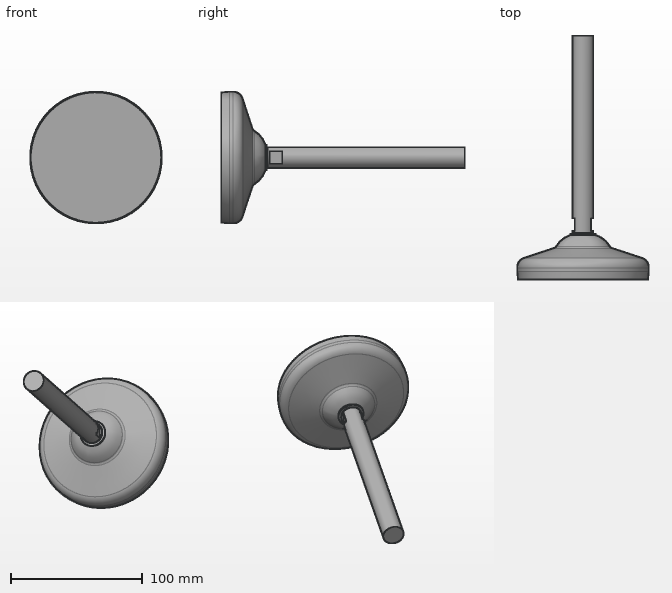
import cadquery as cq
import math

total_length = 185.0

rim_diameter = 100.0
rim_radius = rim_diameter / 2
base_radius = 49.4
draft_height = 6.1
shoulder_start = 9.0
shoulder_radius = 7.8
cone_top_radius = 22.2
cone_top = 23.9
dome_base_radius = 20.4
dome_base = 25.2
dome_mid_radius = 15.7
dome_mid = 30.5
dome_top = 33.7
lip_radius = 9.8
lip_top = 34.8

shaft_radius = 8.0
shaft_bottom = 35.3
stub_radius = 7.8
flat_half_width = 6.3
flat_bottom = 36.8
flat_length = 9.6


def tangent_mid_point(start, end, start_direction):
    """Middle of the arc that leaves start along start_direction and reaches end."""
    chord_x = end[0] - start[0]
    chord_y = end[1] - start[1]
    chord = math.hypot(chord_x, chord_y)
    half_angle = math.atan2(chord_y, chord_x) - start_direction
    bulge = chord / 2 * math.tan(half_angle / 2)
    return (
        (start[0] + end[0]) / 2 + bulge * chord_y / chord,
        (start[1] + end[1]) / 2 - bulge * chord_x / chord,
    )


def make_foot():
    """Round foot with a drafted rim, rounded shoulder, conical top, dome and lip."""
    rim_top = (rim_radius, shoulder_start)
    cone_end = (cone_top_radius, cone_top)
    dome_start = (dome_base_radius, dome_base)
    center_x = rim_radius - shoulder_radius
    to_cone_x = cone_top_radius - center_x
    to_cone_y = cone_top - shoulder_start
    tangent_angle = math.atan2(to_cone_y, to_cone_x) - math.acos(
        shoulder_radius / math.hypot(to_cone_x, to_cone_y)
    )
    cone_bottom = (
        center_x + shoulder_radius * math.cos(tangent_angle),
        shoulder_start + shoulder_radius * math.sin(tangent_angle),
    )
    cone_direction = tangent_angle + math.pi / 2
    profile = (
        cq.Workplane("XY")
        .lineTo(base_radius, 0)
        .lineTo(rim_radius, draft_height)
        .lineTo(*rim_top)
        .threePointArc(tangent_mid_point(rim_top, cone_bottom, math.pi / 2), cone_bottom)
        .lineTo(*cone_end)
        .threePointArc(tangent_mid_point(cone_end, dome_start, cone_direction), dome_start)
        .threePointArc((dome_mid_radius, dome_mid), (lip_radius, dome_top))
        .lineTo(lip_radius, lip_top)
        .lineTo(0, lip_top)
        .close()
    )
    return profile.revolve(360, (0, 0), (0, 1))


def make_spindle():
    """Straight shaft with two wrench flats, standing on the foot's lip by a thin stub."""
    spindle = (
        cq.Workplane("XY")
        .moveTo(0, lip_top)
        .lineTo(stub_radius, lip_top)
        .lineTo(stub_radius, shaft_bottom)
        .lineTo(shaft_radius, shaft_bottom)
        .lineTo(shaft_radius, total_length)
        .lineTo(0, total_length)
        .close()
        .revolve(360, (0, 0), (0, 1))
    )
    cutter_size = 2 * shaft_radius
    for side in (-1, 1):
        cutter_center = side * (flat_half_width + cutter_size / 2)
        cutter = cq.Workplane("XY").box(cutter_size, flat_length, cutter_size)
        spindle = spindle.cut(cutter.translate((cutter_center, flat_bottom + flat_length / 2, 0)))
    return spindle


foot = make_foot()
spindle = make_spindle()

result = cq.Compound.makeCompound([foot.val(), spindle.val()])